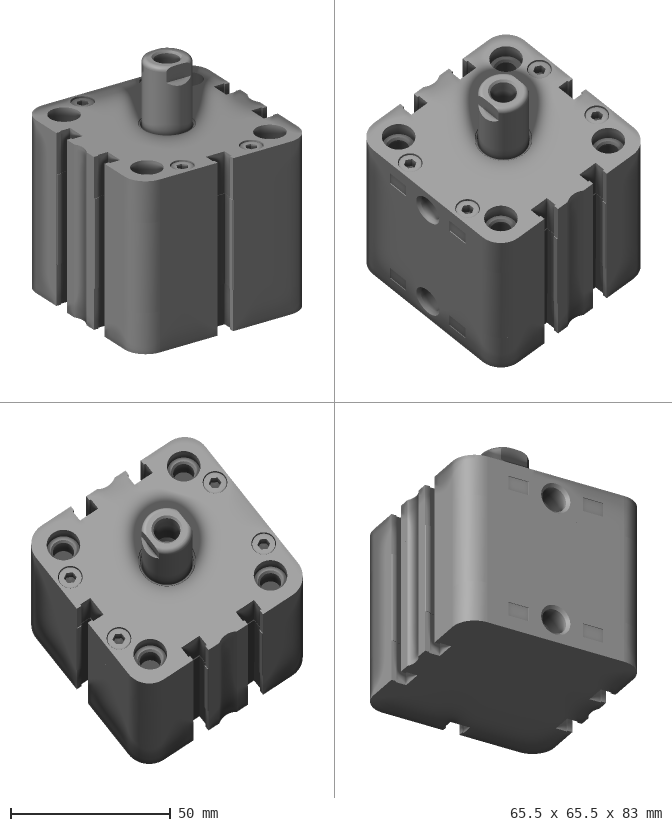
import cadquery as cq

side = 65.5
half_side = side / 2
total_height = 83.0
housing_height = 60.0
head_cap_height = 14.5
end_cap_height = 14.3
corner_radius = 8.0
joint_height = housing_height - head_cap_height
barrel_height = joint_height - end_cap_height
cut_margin = 0.8

slot_offset = 10.5
slot_lip = 1.75
barrel_neck_width = 5.5
barrel_pocket_width = 6.9
barrel_slot_depth = 5.4
barrel_mouth_round = 0.25
slot_clearance = 0.25
cap_neck_width = 5.9
cap_pocket_width = 7.05
cap_slot_depth = barrel_slot_depth + slot_clearance
groove_radius = 6.0
groove_depth = 1.1
bore_diameter = 50.0

port_to_end = 8.0
port_mouth_diameter = 10.5
port_diameter = 8.55
port_depth = 10.0
air_passage_diameter = 3.5
air_passage_depth = 13.3
air_passage_shift = 2.0
label_offset = 13.5
label_width = 7.3
label_height = 4.9
label_depth = 0.25

mount_offset = 23.2
mount_counterbore_diameter = 10.5
mount_counterbore_depth = 4.8
mount_mouth_diameter = 8.0
mount_hole_diameter = 6.6
mount_hole_depth = 11.6

screw_x = 28.0
screw_y = 13.0
screw_hole_diameter = 7.7
screw_head_diameter = 7.2
screw_head_height = 4.0
screw_recess = 0.5
hex_width = 3.5
hex_depth = 3.3

seal_seat_diameter = 18.0
seal_diameter = 17.7
seal_bore_diameter = 16.5
seal_mouth_diameter = 17.0
seal_recess = 0.2
seal_height = 2.0

rod_diameter = 16.0
rod_radius = rod_diameter / 2
rod_round = 1.6
flat_width = 13.0
flat_height = 5.15
rod_mouth_diameter = 9.7
rod_hole_diameter = 8.4
rod_hole_tip_diameter = 6.6
rod_hole_depth = 14.9


def bevel_height(large_diameter, small_diameter):
    """Height of a 45 degree bevel between two diameters."""
    return (large_diameter - small_diameter) / 2


def revolved(points):
    """Solid of revolution about Z from (radius, height) points."""
    return cq.Workplane("XZ").polyline(points).close().revolve(360, (0, 0, 0), (0, 1, 0))


def ring(outer_diameter, inner_diameter, bottom, top):
    return (
        cq.Workplane("XY")
        .workplane(offset=bottom)
        .circle(outer_diameter / 2)
        .circle(inner_diameter / 2)
        .extrude(top - bottom)
    )


def disc(diameter, bottom, top):
    return cq.Workplane("XY").workplane(offset=bottom).circle(diameter / 2).extrude(top - bottom)


def slot_cutter(neck_width, pocket_width, depth, mouth_round, height):
    """T-slot open towards +X, with its mouth on the +X side of the body."""
    neck = neck_width / 2
    pocket = pocket_width / 2
    lip_x = half_side - slot_lip
    floor_x = half_side - depth
    outline = (
        cq.Workplane("XY")
        .moveTo(half_side + cut_margin, neck + mouth_round)
        .lineTo(half_side, neck + mouth_round)
    )
    if mouth_round:
        outline = outline.radiusArc((half_side - mouth_round, neck), -mouth_round)
    outline = (
        outline.lineTo(lip_x, neck)
        .lineTo(lip_x, pocket)
        .lineTo(floor_x, pocket)
        .lineTo(floor_x, -pocket)
        .lineTo(lip_x, -pocket)
        .lineTo(lip_x, -neck)
        .lineTo(half_side - mouth_round, -neck)
    )
    if mouth_round:
        outline = outline.radiusArc((half_side, -neck - mouth_round), -mouth_round)
    return outline.lineTo(half_side + cut_margin, -neck - mouth_round).close().extrude(height)


def profile(height, neck_width, pocket_width, depth, mouth_round):
    """Rounded square block with its T-slots and finger grooves, standing on Z = 0."""
    body = cq.Workplane("XY").rect(side, side).extrude(height).edges("|Z").fillet(corner_radius)
    slot = slot_cutter(neck_width, pocket_width, depth, mouth_round, height)
    groove_axis = half_side - groove_depth + groove_radius
    body = body.cut(slot)
    for turn in (90, -90):
        for offset in (-slot_offset, slot_offset):
            body = body.cut(slot.rotate((0, 0, 0), (0, 0, 1), turn).translate((offset, 0, 0)))
    grooves = (
        cq.Workplane("XY")
        .pushPoints([(0, groove_axis), (0, -groove_axis)])
        .circle(groove_radius)
        .extrude(height)
    )
    return body.cut(grooves)


def cap_profile(height):
    return profile(height, cap_neck_width, cap_pocket_width, cap_slot_depth, 0)


def port_cutter(port_height):
    """Blind port, bored from the -X side, with a bevelled mouth."""
    mouth_bevel = bevel_height(port_mouth_diameter, port_diameter)
    points = [
        (0, 0),
        (port_mouth_diameter / 2, 0),
        (port_diameter / 2, mouth_bevel),
        (port_diameter / 2, port_depth),
        (0, port_depth),
    ]
    return revolved(points).rotate((0, 0, 0), (0, 1, 0), 90).translate((-half_side, 0, port_height))


def label_cutter(height):
    return (
        cq.Workplane("YZ")
        .workplane(offset=-half_side)
        .pushPoints([(-label_offset, height), (label_offset, height)])
        .rect(label_width, label_height)
        .extrude(label_depth)
    )


def make_end_cap():
    return cap_profile(end_cap_height).cut(port_cutter(port_to_end)).cut(label_cutter(end_cap_height / 2))


def make_barrel():
    barrel = profile(
        barrel_height, barrel_neck_width, barrel_pocket_width, barrel_slot_depth, barrel_mouth_round
    )
    return barrel.cut(disc(bore_diameter, 0, barrel_height)).translate((0, 0, end_cap_height))


def mount_hole_cutter():
    """Counterbored, bevelled blind hole down from the top of the cap."""
    floor = head_cap_height - mount_counterbore_depth
    bevel_end = floor - bevel_height(mount_mouth_diameter, mount_hole_diameter)
    hole_end = head_cap_height - mount_hole_depth
    points = [
        (0, head_cap_height),
        (mount_counterbore_diameter / 2, head_cap_height),
        (mount_counterbore_diameter / 2, floor),
        (mount_mouth_diameter / 2, floor),
        (mount_hole_diameter / 2, bevel_end),
        (mount_hole_diameter / 2, hole_end),
        (0, hole_end),
    ]
    return revolved(points)


def screw_cutter():
    """Recess, gap round the head and hexagon socket of one cap screw."""
    head_top = head_cap_height - screw_recess
    recess = disc(screw_hole_diameter, head_top, head_cap_height)
    gap = ring(screw_hole_diameter, screw_head_diameter, head_top - screw_head_height, head_top)
    socket = (
        cq.Workplane("XY")
        .workplane(offset=head_top - hex_depth)
        .polygon(6, hex_width, circumscribed=True)
        .extrude(hex_depth)
    )
    return recess.union(gap).union(socket)


def rod_passage_cutter():
    """Rod guide bore with the recessed seal, bevelled at its mouth, around the rod."""
    seal_top = head_cap_height - seal_recess
    seal_bottom = seal_top - seal_height
    bevel_bottom = seal_top - bevel_height(seal_mouth_diameter, seal_bore_diameter)
    points = [
        (0, 0),
        (rod_radius, 0),
        (rod_radius, seal_bottom),
        (seal_bore_diameter / 2, seal_bottom),
        (seal_bore_diameter / 2, bevel_bottom),
        (seal_mouth_diameter / 2, seal_top),
        (seal_seat_diameter / 2, seal_top),
        (seal_seat_diameter / 2, head_cap_height),
        (0, head_cap_height),
    ]
    gap = ring(seal_seat_diameter, seal_diameter, seal_bottom, seal_top)
    return revolved(points).union(gap)


def make_head_cap():
    port_height = head_cap_height - port_to_end
    cap = cap_profile(head_cap_height).cut(port_cutter(port_height)).cut(label_cutter(head_cap_height / 2))
    air_passage = (
        cq.Workplane("YZ")
        .workplane(offset=-half_side)
        .center(0, port_height - air_passage_shift)
        .circle(air_passage_diameter / 2)
        .extrude(air_passage_depth)
    )
    cap = cap.cut(air_passage).cut(rod_passage_cutter())
    mount_hole = mount_hole_cutter()
    screw = screw_cutter()
    for x_sign in (-1, 1):
        for y_sign in (-1, 1):
            cap = cap.cut(mount_hole.translate((x_sign * mount_offset, y_sign * mount_offset, 0)))
            cap = cap.cut(screw.translate((x_sign * screw_x, y_sign * screw_y, 0)))
    return cap.translate((0, 0, joint_height))


def rod_hole_cutter():
    bevel_end = total_height - bevel_height(rod_mouth_diameter, rod_hole_diameter)
    hole_end = total_height - rod_hole_depth
    tip_end = hole_end - bevel_height(rod_hole_diameter, rod_hole_tip_diameter)
    points = [
        (0, total_height),
        (rod_mouth_diameter / 2, total_height),
        (rod_hole_diameter / 2, bevel_end),
        (rod_hole_diameter / 2, hole_end),
        (rod_hole_tip_diameter / 2, tip_end),
        (0, tip_end),
    ]
    return revolved(points)


def flat_cutter():
    """Wrench flat on the +X side, running out downwards at 45 degrees."""
    flat_bottom = total_height - flat_height
    run_out_x = rod_radius + cut_margin
    run_out_bottom = flat_bottom - (run_out_x - flat_width / 2)
    return (
        cq.Workplane("XZ")
        .polyline(
            [
                (flat_width / 2, total_height),
                (flat_width / 2, flat_bottom),
                (run_out_x, run_out_bottom),
                (run_out_x, total_height),
            ]
        )
        .close()
        .extrude(rod_radius, both=True)
    )


def make_rod():
    """Piston rod, standing on the end cap."""
    rod = disc(rod_diameter, end_cap_height, total_height).edges(">Z").fillet(rod_round)
    flat = flat_cutter()
    return rod.cut(flat).cut(flat.mirror("YZ")).cut(rod_hole_cutter())


end_cap = make_end_cap()
barrel = make_barrel()
head_cap = make_head_cap()
rod = make_rod()

result = cq.Compound.makeCompound([end_cap.val(), barrel.val(), head_cap.val(), rod.val()])